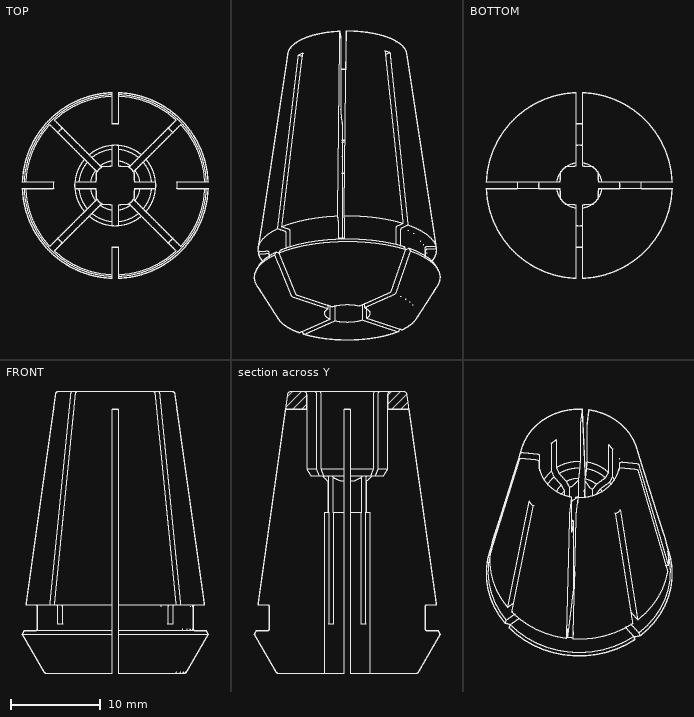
import cadquery as cq
import math


height = 31.5
flange_top = 4.8
neck_top = 7.65
nose_slit_top = 29.48
back_slit_floor = 5.5

flange_radius = 10.4
rim_height = 4.38
rim_top_radius = 10.17
nose_angle = 30
neck_radius = 8.73
taper_base_radius = 10.0
taper_angle = 8
edge_round = 0.3
neck_round = 0.2

shank_radius = 2.55
shank_depth = 17.95
square_side = 4.2
pilot_radius = 2.2
lead_in_radius = 2.77
lead_in_depth = 0.7
clearance_radius = 4.5
clearance_floor_radius = 4.05
clearance_floor_angle = 30
clearance_floor = 22.05

slit_width = 0.72
slit_length = flange_radius + 0.3
slits_per_end = 4
nose_slit_start = 0
back_slit_start = 45

nose_radius = flange_radius - rim_height * math.tan(math.radians(nose_angle))
taper_top_radius = taper_base_radius - (height - neck_top) * math.tan(math.radians(taper_angle))


def revolve_profile(points):
    """Turn a closed (radius, height) outline about the Z axis."""
    return cq.Workplane("XZ").polyline(points).close().revolve(360, (0, 0, 0), (0, 1, 0))


def round_circle(body, radius, z, size):
    """Fillet the circular edge with the given radius and height."""
    def matches(edge):
        box = edge.BoundingBox()
        flat = edge.geomType() == "CIRCLE" and abs(edge.Center().z - z) < 0.0003
        return flat and box.zlen < 1e-3 and abs(edge.radius() - radius) < 0.0003

    edges = [edge for edge in body.edges().vals() if matches(edge)]
    return body.newObject(edges).fillet(size)


def outer_body():
    body = revolve_profile([
        (0, 0),
        (nose_radius, 0),
        (flange_radius, rim_height),
        (rim_top_radius, flange_top),
        (neck_radius, flange_top),
        (neck_radius, neck_top),
        (taper_base_radius, neck_top),
        (taper_top_radius, height),
        (0, height),
    ])
    body = round_circle(body, nose_radius, 0, edge_round)
    body = round_circle(body, neck_radius, flange_top, neck_round)
    body = round_circle(body, neck_radius, neck_top, neck_round)
    return round_circle(body, taper_top_radius, height, edge_round)


def cut_bore(body):
    cone_slope = math.tan(math.radians(clearance_floor_angle))
    cone_height = (clearance_radius - clearance_floor_radius) / cone_slope
    clearance = revolve_profile([
        (0, clearance_floor),
        (clearance_floor_radius, clearance_floor),
        (clearance_radius, clearance_floor + cone_height),
        (clearance_radius, height),
        (0, height),
    ])
    lead_in = revolve_profile([
        (0, clearance_floor),
        (lead_in_radius, clearance_floor),
        (lead_in_radius - lead_in_depth, clearance_floor - lead_in_depth),
        (0, clearance_floor - lead_in_depth),
    ])
    square = (
        cq.Workplane("XY", origin=(0, 0, shank_depth))
        .rect(square_side, square_side)
        .extrude(clearance_floor - shank_depth)
    )
    pilot = cq.Workplane("XY").circle(pilot_radius).extrude(clearance_floor)
    shank = cq.Workplane("XY").circle(shank_radius).extrude(shank_depth)
    body = body.cut(shank).cut(pilot).cut(square).cut(lead_in).cut(clearance)
    return round_circle(body, clearance_radius, height, edge_round)


def cut_slits(body, start_angle, bottom, top):
    """Cut radial slits, evenly spaced, between two heights."""
    for index in range(slits_per_end):
        slit = (
            cq.Workplane("XY", origin=(0, 0, bottom))
            .center(slit_length / 2, 0)
            .rect(slit_length, slit_width)
            .extrude(top - bottom)
            .rotate((0, 0, 0), (0, 0, 1), start_angle + index * 360 / slits_per_end)
        )
        body = body.cut(slit)
    return body


result = cut_bore(outer_body())
result = cut_slits(result, nose_slit_start, 0, nose_slit_top)
result = cut_slits(result, back_slit_start, back_slit_floor, height)